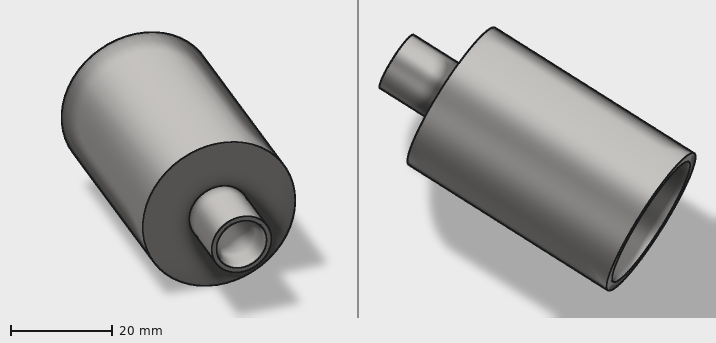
import cadquery as cq

body_length = 47.0
body_diameter = 32.0
wall_thickness = 2.0
floor_thickness = wall_thickness

neck_length = 13.0
neck_diameter = 12.5
neck_bore_diameter = 10.5

cup_diameter = body_diameter - 2 * wall_thickness
cup_depth = body_length - floor_thickness
total_length = body_length + neck_length


def cylinder_along_x(start_x, length, diameter):
    """Solid cylinder on the X axis, running from start_x toward +X."""
    return cq.Workplane("YZ", origin=(start_x, 0, 0)).circle(diameter / 2).extrude(length)


body = cylinder_along_x(0, body_length, body_diameter)
neck = cylinder_along_x(body_length, neck_length, neck_diameter)

cup_cavity = cylinder_along_x(0, cup_depth, cup_diameter)
through_bore = cylinder_along_x(0, total_length, neck_bore_diameter)

result = body.union(neck).cut(cup_cavity).cut(through_bore)